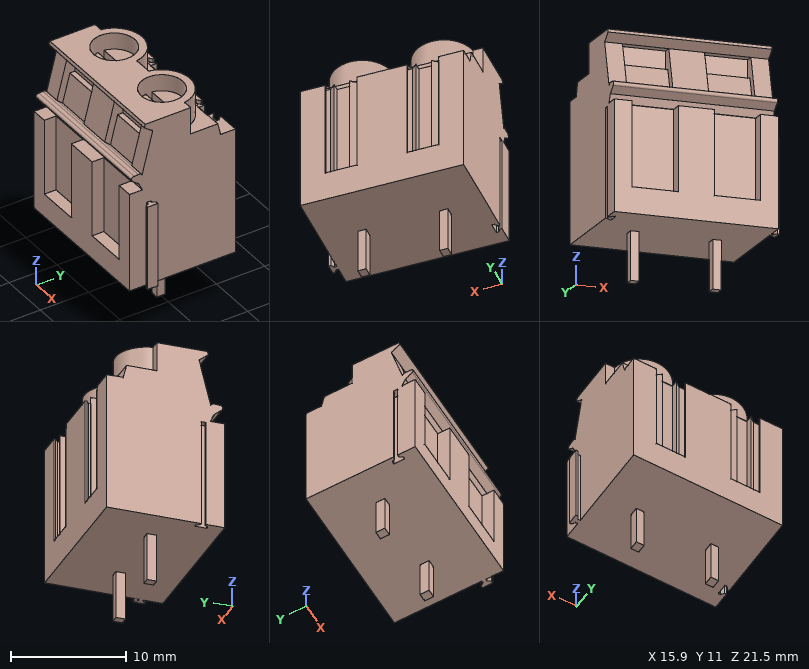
import cadquery as cq
import math


pole_count = 2
pitch = 7.62
width = pole_count * pitch
depth = 11.0
height = 17.0
pole_centers = [(i + 0.5) * pitch for i in range(pole_count)]

rear_step_height = 13.0
shoulder_height = 14.23
rear_step_depth = 1.55
shoulder_depth = 1.85
crown_depth = 4.66

lip_top_y = 1.63
lip_nose_y = 1.52
lip_nose_z = 16.68
slope_top_y = 2.4
slope_top_z = 16.02
slope_foot_y = 1.31
slope_foot_z = 11.8
ridge_top_rear_z = 11.97
ridge_top_front_z = 11.93
ridge_top_rear_y = 0.92
ridge_top_front_y = 0.5
ridge_nose_y = 0.2
ridge_nose_z = 11.73
ridge_under_y = 0.28
ridge_under_z = 11.49
ridge_root_y = 0.98
ridge_root_z = 10.94
ledge_y = 1.33
ledge_z = 10.2

opening_width = 4.3
entry_floor_z = 2.41
entry_depth = 1.22
window_set_back = 0.72
window_ledge_z = 14.2
window_ledge_depth = 0.54
window_floor_angle = 40.0

well_radius = 2.12
well_wall_radius = 2.9
well_y = 5.85
screw_top_z = 15.3
screw_head_height = 2.0
screw_slot_width = 0.63
screw_slot_depth = 0.8

dovetail_y = 1.99
dovetail_neck = 0.43
dovetail_head = 1.07
dovetail_flare_start = 0.21
dovetail_flare_end = 0.43
dovetail_length = 0.65
rib_height = 8.7
groove_height = 10.0

marker_mouth = 1.48
marker_barb = 1.83
marker_barb_inner = 1.24
marker_straight = 0.16
marker_barb_start = 0.45
marker_depth = 0.69
marker_tooth_tip = 0.23
marker_center = 0.72
marker_center_depth = 0.93
marker_drop = 10.0

pin_width = 0.79
pin_thickness = 0.9
pin_y = 5.5
pin_length = 4.5


def housing_block():
    """Side outline, run along the underside, up the front, over the top and down the rear steps."""
    outline = (
        cq.Workplane("YZ")
        .moveTo(depth, 0)
        .lineTo(0, 0)
        .lineTo(0, ledge_z)
        .lineTo(ledge_y, ledge_z)
        .lineTo(ridge_root_y, ridge_root_z)
        .lineTo(ridge_under_y, ridge_under_z)
        .threePointArc((ridge_nose_y, ridge_nose_z), (ridge_top_front_y, ridge_top_front_z))
        .lineTo(ridge_top_rear_y, ridge_top_rear_z)
        .tangentArcPoint((slope_foot_y, slope_foot_z), relative=False)
        .lineTo(slope_top_y, slope_top_z)
        .lineTo(lip_nose_y, lip_nose_z)
        .lineTo(lip_top_y, height)
        .lineTo(depth - crown_depth, height)
        .lineTo(depth - crown_depth, shoulder_height)
        .lineTo(depth - shoulder_depth, shoulder_height)
        .lineTo(depth - rear_step_depth, rear_step_height)
        .lineTo(depth, rear_step_height)
        .close()
    )
    return outline.extrude(width)


def well_wall(x):
    """Round wall that stands on the shoulder around one screw well."""
    return (
        cq.Workplane("XY", origin=(x, well_y, shoulder_height))
        .circle(well_wall_radius)
        .extrude(height - shoulder_height)
    )


def screw_space(x):
    """Space of one screw and the open well above it."""
    bottom = screw_top_z - screw_head_height
    return cq.Workplane("XY", origin=(x, well_y, bottom)).circle(well_radius).extrude(height - bottom)


def wire_entry(x):
    """Recess in the lower front face, open at the ledge."""
    corner = (x - opening_width / 2, 0, entry_floor_z)
    entry_height = ledge_z - entry_floor_z
    return cq.Workplane("XY", origin=corner).box(opening_width, entry_depth, entry_height, centered=False)


def window(x):
    """Recess in the sloping front, with a lower face parallel to the slope and a ledge above it."""
    slope_run = (slope_top_y - slope_foot_y) / (slope_top_z - slope_foot_z)
    floor_fall = math.tan(math.radians(window_floor_angle))
    floor_run = window_set_back / (1 + slope_run * floor_fall)
    floor_y = slope_foot_y + floor_run
    floor_z = slope_foot_z - floor_run * floor_fall
    ledge_front_y = slope_foot_y + window_set_back + (window_ledge_z - slope_foot_z) * slope_run
    back_y = ledge_front_y + window_ledge_depth
    return (
        cq.Workplane("YZ", origin=(x - opening_width / 2, 0, 0))
        .moveTo(slope_foot_y, slope_foot_z)
        .lineTo(floor_y, floor_z)
        .lineTo(ledge_front_y, window_ledge_z)
        .lineTo(back_y, window_ledge_z)
        .lineTo(back_y, slope_top_z)
        .lineTo(slope_top_y, slope_top_z)
        .close()
        .extrude(opening_width)
    )


def dovetail(x, rail_height):
    """Vertical dovetail that grows in +X from the plane at x, narrow at its neck."""
    return (
        cq.Workplane("XY", origin=(x, dovetail_y, 0))
        .moveTo(0, -dovetail_neck / 2)
        .lineTo(dovetail_flare_start, -dovetail_neck / 2)
        .lineTo(dovetail_flare_end, -dovetail_head / 2)
        .lineTo(dovetail_length, -dovetail_head / 2)
        .lineTo(dovetail_length, dovetail_head / 2)
        .lineTo(dovetail_flare_end, dovetail_head / 2)
        .lineTo(dovetail_flare_start, dovetail_neck / 2)
        .lineTo(0, dovetail_neck / 2)
        .close()
        .extrude(rail_height)
    )


def marker_slot(x):
    """Barbed slot with a deeper middle, sunk into the rear step and open at the rear face."""
    half = [
        (marker_mouth, 0),
        (marker_mouth, -marker_straight),
        (marker_barb, -marker_barb_start),
        (marker_barb, -marker_depth),
        (marker_barb_inner, -marker_depth),
        (marker_center, -marker_tooth_tip),
        (marker_center, -marker_center_depth),
    ]
    mirrored = [(-px, py) for px, py in reversed(half)]
    return (
        cq.Workplane("XY", origin=(x, depth, rear_step_height))
        .polyline(half + mirrored)
        .close()
        .extrude(-marker_drop)
    )


def make_housing():
    body = housing_block().union(dovetail(width, rib_height))
    for x in pole_centers:
        body = body.union(well_wall(x))
    for x in pole_centers:
        body = body.cut(screw_space(x))
        body = body.cut(wire_entry(x))
        body = body.cut(window(x))
        body = body.cut(marker_slot(x))
    return body.cut(dovetail(0, groove_height))


def make_screw(x):
    """Slotted screw at the bottom of its well."""
    head = (
        cq.Workplane("XY", origin=(x, well_y, screw_top_z))
        .circle(well_radius)
        .extrude(-screw_head_height)
    )
    slot = cq.Workplane("XY", origin=(x, well_y, screw_top_z)).rect(2 * well_radius, screw_slot_width)
    return head.cut(slot.extrude(-screw_slot_depth))


def make_pin(x):
    """Solder pin hanging from the underside of the housing."""
    return cq.Workplane("XY", origin=(x, pin_y, 0)).rect(pin_width, pin_thickness).extrude(-pin_length)


housing = make_housing()
screws = [make_screw(x) for x in pole_centers]
pins = [make_pin(x) for x in pole_centers]

result = cq.Compound.makeCompound(
    [housing.val()] + [screw.val() for screw in screws] + [pin.val() for pin in pins]
)